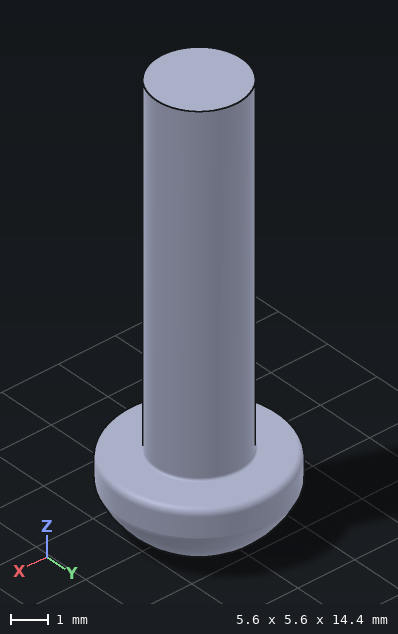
import cadquery as cq
import math

shank_diameter = 3.0
shank_length = 12.0
head_diameter = 5.6
head_height = 2.4
rim_height = 1.0
crown_flat_diameter = 3.2
rim_fillet = 0.25
neck_fillet = 0.1

shank_radius = shank_diameter / 2
head_radius = head_diameter / 2
crown_radius = crown_flat_diameter / 2

dome_height = head_height - rim_height
centre_above_rim = (head_radius**2 - crown_radius**2 - dome_height**2) / (2 * dome_height)
dome_radius = math.hypot(head_radius, centre_above_rim)
dome_centre_z = centre_above_rim - rim_height


def dome_radius_at(z):
    """Distance from the axis to the dome surface at height z."""
    return math.sqrt(dome_radius**2 - (z - dome_centre_z) ** 2)


def make_head():
    """Revolve the head profile and round the two edges of its rim."""
    dome_middle_z = -(rim_height + dome_height / 2)
    profile = (
        cq.Workplane("XZ")
        .moveTo(0, 0)
        .lineTo(head_radius, 0)
        .lineTo(head_radius, -rim_height)
        .threePointArc((dome_radius_at(dome_middle_z), dome_middle_z), (crown_radius, -head_height))
        .lineTo(0, -head_height)
        .close()
    )
    head = profile.revolve(360, (0, 0, 0), (0, 1, 0))
    return head.faces("%CYLINDER").edges("%CIRCLE").fillet(rim_fillet)


def add_shank(head):
    """Join the shank to the bearing face and round the neck."""
    shank = cq.Workplane("XY").circle(shank_radius).extrude(shank_length)
    screw = head.union(shank)
    neck_edge = screw.faces("%CYLINDER").faces(">Z").edges("%CIRCLE").edges("<Z")
    return neck_edge.fillet(neck_fillet)


result = add_shank(make_head())